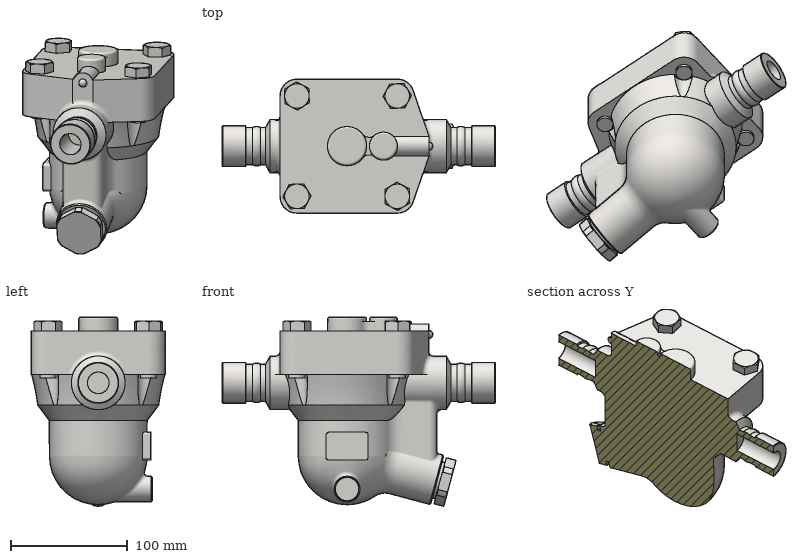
import cadquery as cq
import math

BODY_RADIUS = 42.0
SPHERE_Z = -62.5
SHOULDER_BOTTOM_Z = -32.2
SHOULDER_TOP_Z = -19.0
SHOULDER_RADIUS = 52.0
NECK_TOP_RADIUS = 57.2
NECK_SAG = 0.5

FLANGE_BOTTOM_Z = 7.0
PARTING_Z = 27.0
COVER_TOP_Z = 44.5
FLANGE_HALF = 57.5
NOSE_X = 70.0
NOSE_HALF_WIDTH = 9.0

BOLT_OFFSET = 43.0
BOLT_FLATS = 21.0
BOLT_HEAD_HEIGHT = 8.5
BOLT_TWIST = 2.0
BOLT_END_DIAMETER = 14.0
BOLT_END_LENGTH = 2.8
SCALLOP_RADIUS = 9.0
HEX_CHAMFER_ANGLE = 30.0

BOSS_TOP_Z = 56.4
BOSS_EDGE_FILLET = 2.0
MAIN_BOSS_RADIUS = 16.8
SIDE_BOSS_RADIUS = 12.0
SIDE_BOSS_X = 31.2
WEB_TOP_Z = 52.7
WEB_ARC_RADIUS = 7.0
TUBE_RADIUS = 9.0
TUBE_DEPTH = 3.0
TUBE_Z = COVER_TOP_Z - TUBE_DEPTH
TIP_RADIUS = 3.5

INLET_END_X = -107.0
OUTLET_END_X = 127.0
PIPE_RADIUS = 23.0
INLET_PIPE_LENGTH = 41.0
OUTLET_PIPE_LENGTH = 42.0
PIPE_FLANGE_FILLET = 4.0
TAPER_LENGTH = 4.0
END_RADIUS = 17.5
END_LENGTH = 20.5
END_CHAMFER = 0.5
NECK_RADIUS = 16.0
BEAD_RADIUS = 17.0
BEAD_START = 26.0
BEAD_LENGTH = 7.0
BORE_RADIUS = 9.25
BORE_DEPTH = 40.0

PAD_WIDTH = 36.0
PAD_HEIGHT = 24.0
PAD_Z = -54.3
PAD_FACE_Y = -45.0
PAD_CORNER = 2.5

DRAIN_RADIUS = 11.0
DRAIN_Z = -91.0
DRAIN_FACE_Y = -46.4
DRAIN_CHAMFER = 1.0
DRAIN_FILLET = 3.0

BRANCH_TILT = 15.0
BRANCH_RADIUS = 22.0
BRANCH_BLEND = 16.0
BRANCH_END = 80.0
BRANCH_CHAMFER = 1.0
PLUG_NECK_RADIUS = 16.0
PLUG_HEX_START = 82.5
PLUG_END = 91.3
PLUG_FLATS = 38.0
PLUG_TURNED_RADIUS = 20.5
PLUG_CHAMFER = 0.5

RIB_HALF_WIDTH = 17.0
RIB_END_X = 77.0
RIB_CORNER = 6.5
RIB_BLEND = 15.0
RIB_PIPE_FILLET = 4.0
RIB_BRANCH_FILLET = 2.0

TILT = math.radians(BRANCH_TILT)
BRANCH_AXIS = cq.Vector(math.cos(TILT), 0, -math.sin(TILT))
BRANCH_UP = cq.Vector(math.sin(TILT), 0, math.cos(TILT))
DOME_CENTRE = cq.Vector(0, 0, SPHERE_Z)

DIAGONAL = math.sqrt(0.5)
EDGE_MARGIN = 1.0


def cylinder_x(radius, x_start, x_end, z=0.0):
    return cq.Workplane("YZ", origin=(x_start, 0, z)).circle(radius).extrude(x_end - x_start)


def hex_prism(plane, flats, height):
    corners = flats / math.cos(math.radians(30))
    return cq.Workplane(plane).polygon(6, corners).extrude(height)


def hex_head(plane, flats, height):
    """Hexagonal prism with its outer corners chamfered by a cone."""
    inner = flats / 2
    base_radius = inner + height / math.tan(math.radians(HEX_CHAMFER_ANGLE))
    cone = cq.Solid.makeCone(base_radius, inner, height, plane.origin, plane.zDir)
    return hex_prism(plane, flats, height).intersect(cq.Workplane(cone))


def box_around(x_range, half_y, z_range):
    return cq.selectors.BoxSelector((x_range[0], -half_y, z_range[0]), (x_range[1], half_y, z_range[1]))


def make_body():
    mid_radius = (NECK_TOP_RADIUS + SHOULDER_RADIUS) / 2 - NECK_SAG
    mid_z = (FLANGE_BOTTOM_Z + SHOULDER_TOP_Z) / 2
    dome = BODY_RADIUS * DIAGONAL
    body = (
        cq.Workplane("XZ")
        .moveTo(0, FLANGE_BOTTOM_Z)
        .lineTo(NECK_TOP_RADIUS, FLANGE_BOTTOM_Z)
        .threePointArc((mid_radius, mid_z), (SHOULDER_RADIUS, SHOULDER_TOP_Z))
        .lineTo(BODY_RADIUS, SHOULDER_BOTTOM_Z)
        .lineTo(BODY_RADIUS, SPHERE_Z)
        .threePointArc((dome, SPHERE_Z - dome), (0, SPHERE_Z - BODY_RADIUS))
        .close()
        .revolve(360, (0, 0, 0), (0, 1, 0))
    )
    for x in (-BOLT_OFFSET, BOLT_OFFSET):
        for y in (-BOLT_OFFSET, BOLT_OFFSET):
            scallop = cq.Workplane("XY", origin=(x, y, SHOULDER_TOP_Z)).circle(SCALLOP_RADIUS)
            body = body.cut(scallop.extrude(FLANGE_BOTTOM_Z - SHOULDER_TOP_Z))
    return body


def flange_plate(z_bottom, z_top):
    """Square plate with round corners, narrowing to a flat nose at +X."""
    c = BOLT_OFFSET
    r = FLANGE_HALF - BOLT_OFFSET
    nose_dx = NOSE_X - c
    nose_dy = NOSE_HALF_WIDTH - c
    angle = math.atan2(nose_dy, nose_dx) + math.acos(r / math.hypot(nose_dx, nose_dy))
    tangent = (c + r * math.cos(angle), c + r * math.sin(angle))
    mid_angle = (angle + math.pi / 2) / 2
    arc_mid = (c + r * math.cos(mid_angle), c + r * math.sin(mid_angle))
    diag = c + r * DIAGONAL
    return (
        cq.Workplane("XY", origin=(0, 0, z_bottom))
        .moveTo(NOSE_X, -NOSE_HALF_WIDTH)
        .lineTo(NOSE_X, NOSE_HALF_WIDTH)
        .lineTo(*tangent)
        .threePointArc(arc_mid, (c, FLANGE_HALF))
        .lineTo(-c, FLANGE_HALF)
        .threePointArc((-diag, diag), (-FLANGE_HALF, c))
        .lineTo(-FLANGE_HALF, -c)
        .threePointArc((-diag, -diag), (-c, -FLANGE_HALF))
        .lineTo(c, -FLANGE_HALF)
        .threePointArc((arc_mid[0], -arc_mid[1]), (tangent[0], -tangent[1]))
        .close()
        .extrude(z_top - z_bottom)
    )


def make_flange_with_pipe():
    """Lower flange joined to the wide pipe, with a fillet where the pipe leaves the flange sides."""
    pipe = cylinder_x(PIPE_RADIUS, INLET_END_X + INLET_PIPE_LENGTH, OUTLET_END_X - OUTLET_PIPE_LENGTH)
    reach = PIPE_RADIUS + EDGE_MARGIN
    inlet_side = (-FLANGE_HALF - EDGE_MARGIN, -FLANGE_HALF + EDGE_MARGIN)
    outlet_side = (FLANGE_HALF, NOSE_X + EDGE_MARGIN)
    joined = flange_plate(-FLANGE_HALF, FLANGE_HALF).union(pipe)
    for x_range in (inlet_side, outlet_side):
        joined = joined.edges(box_around(x_range, reach, (-reach, reach))).fillet(PIPE_FLANGE_FILLET)
    size = 2 * OUTLET_END_X
    height = PARTING_Z - FLANGE_BOTTOM_Z
    slab = cq.Workplane("XY", origin=(0, 0, FLANGE_BOTTOM_Z)).rect(size, size).extrude(height)
    return joined.intersect(slab).union(pipe)


def make_bosses():
    height = BOSS_TOP_Z - COVER_TOP_Z
    top = cq.Workplane("XY", origin=(0, 0, COVER_TOP_Z))
    main = top.circle(MAIN_BOSS_RADIUS).extrude(height).faces(">Z").edges().fillet(BOSS_EDGE_FILLET)
    side = top.center(SIDE_BOSS_X, 0).circle(SIDE_BOSS_RADIUS).extrude(height)
    side = side.faces(">Z").edges().fillet(BOSS_EDGE_FILLET)
    main_reach = MAIN_BOSS_RADIUS + WEB_ARC_RADIUS
    side_reach = SIDE_BOSS_RADIUS + WEB_ARC_RADIUS
    arc_x = (main_reach**2 - side_reach**2 + SIDE_BOSS_X**2) / (2 * SIDE_BOSS_X)
    arc_y = math.sqrt(main_reach**2 - arc_x**2)
    web = (
        top.polyline([(0, 0), (arc_x, arc_y), (SIDE_BOSS_X, 0), (arc_x, -arc_y)])
        .close()
        .extrude(WEB_TOP_Z - COVER_TOP_Z)
        .cut(top.pushPoints([(arc_x, arc_y), (arc_x, -arc_y)]).circle(WEB_ARC_RADIUS).extrude(height))
    )
    tube = cylinder_x(TUBE_RADIUS, SIDE_BOSS_X, NOSE_X, TUBE_Z)
    tip = cq.Workplane("XY", origin=(NOSE_X, 0, TUBE_Z)).sphere(TIP_RADIUS)
    return main.union(web).union(side).union(tube).union(tip)


def make_bolts():
    bolts = cq.Workplane("XY")
    for index in range(4):
        turn = 90 * index + 45
        reach = BOLT_OFFSET / DIAGONAL
        x = reach * math.cos(math.radians(turn))
        y = reach * math.sin(math.radians(turn))
        twist = math.radians(90 * index + BOLT_TWIST)
        x_dir = (math.cos(twist), math.sin(twist), 0)
        plane = cq.Plane(origin=(x, y, COVER_TOP_Z), xDir=x_dir, normal=(0, 0, 1))
        shank = (
            cq.Workplane("XY", origin=(x, y, FLANGE_BOTTOM_Z - BOLT_END_LENGTH))
            .circle(BOLT_END_DIAMETER / 2)
            .extrude(COVER_TOP_Z - FLANGE_BOTTOM_Z + BOLT_END_LENGTH)
        )
        bolts = bolts.add(hex_head(plane, BOLT_FLATS, BOLT_HEAD_HEIGHT)).add(shank)
    return bolts.combine()


def make_pipe_end(x_end, direction, wide_pipe_start):
    """Weld end with a bead and a taper; distances run from the open end towards the body."""
    bead_end = BEAD_START + BEAD_LENGTH
    inside = wide_pipe_start + TAPER_LENGTH
    pipe_end = (
        cq.Workplane("XY")
        .moveTo(0, 0)
        .lineTo(0, END_RADIUS - END_CHAMFER)
        .lineTo(END_CHAMFER, END_RADIUS)
        .lineTo(END_LENGTH - END_CHAMFER, END_RADIUS)
        .lineTo(END_LENGTH, NECK_RADIUS)
        .lineTo(BEAD_START, NECK_RADIUS)
        .threePointArc((BEAD_START + BEAD_LENGTH / 2, BEAD_RADIUS), (bead_end, NECK_RADIUS))
        .lineTo(wide_pipe_start - TAPER_LENGTH, NECK_RADIUS)
        .lineTo(wide_pipe_start, PIPE_RADIUS)
        .lineTo(inside, PIPE_RADIUS)
        .lineTo(inside, 0)
        .close()
        .revolve(360, (0, 0, 0), (1, 0, 0))
    )
    if direction < 0:
        pipe_end = pipe_end.mirror("YZ")
    return pipe_end.translate((x_end, 0, 0))


def make_pad():
    return (
        cq.Workplane("XZ", origin=(0, PAD_FACE_Y, PAD_Z))
        .rect(PAD_WIDTH, PAD_HEIGHT)
        .extrude(PAD_FACE_Y)
        .edges("|Y")
        .fillet(PAD_CORNER)
    )


def add_drain(body):
    boss = (
        cq.Workplane("XZ", origin=(0, DRAIN_FACE_Y, DRAIN_Z))
        .circle(DRAIN_RADIUS)
        .extrude(DRAIN_FACE_Y)
    )
    boss = boss.faces("<Y").edges().chamfer(DRAIN_CHAMFER)
    joined = body.union(boss)
    foot = box_around(
        (-DRAIN_RADIUS, DRAIN_RADIUS),
        -DRAIN_FACE_Y - 2 * DRAIN_CHAMFER,
        (DRAIN_Z - DRAIN_RADIUS, DRAIN_Z + DRAIN_RADIUS),
    )
    return joined.edges(foot).fillet(DRAIN_FILLET)


def make_branch():
    """Cylinder along the slanted axis, flared by an arc tangent to the dome."""
    plane = cq.Plane(origin=DOME_CENTRE, xDir=BRANCH_AXIS, normal=(0, -1, 0))
    arc_v = BRANCH_RADIUS + BRANCH_BLEND
    arc_u = math.sqrt((BODY_RADIUS + BRANCH_BLEND) ** 2 - arc_v**2)
    share = BODY_RADIUS / (BODY_RADIUS + BRANCH_BLEND)
    foot = (arc_u * share, arc_v * share)
    mid_angle = (math.atan2(-arc_v, -arc_u) - math.pi / 2) / 2
    mid = (arc_u + BRANCH_BLEND * math.cos(mid_angle), arc_v + BRANCH_BLEND * math.sin(mid_angle))
    return (
        cq.Workplane(plane)
        .moveTo(0, 0)
        .lineTo(*foot)
        .threePointArc(mid, (arc_u, BRANCH_RADIUS))
        .lineTo(BRANCH_END - BRANCH_CHAMFER, BRANCH_RADIUS)
        .lineTo(BRANCH_END, BRANCH_RADIUS - BRANCH_CHAMFER)
        .lineTo(BRANCH_END, 0)
        .close()
        .revolve(360, (0, 0, 0), (1, 0, 0))
    )


def make_plug():
    """Short neck and a hexagon with turned corners, one of them pointing up."""
    neck_plane = cq.Plane(
        origin=DOME_CENTRE + BRANCH_AXIS * BRANCH_END, xDir=BRANCH_UP, normal=BRANCH_AXIS)
    hex_plane = cq.Plane(
        origin=DOME_CENTRE + BRANCH_AXIS * PLUG_HEX_START, xDir=BRANCH_UP, normal=BRANCH_AXIS)
    neck = cq.Workplane(neck_plane).circle(PLUG_NECK_RADIUS).extrude(PLUG_HEX_START - BRANCH_END)
    height = PLUG_END - PLUG_HEX_START
    turned = cq.Workplane(hex_plane).circle(PLUG_TURNED_RADIUS).extrude(height).edges().chamfer(PLUG_CHAMFER)
    head = hex_prism(hex_plane, PLUG_FLATS, height).intersect(turned)
    return neck.union(head)


def make_rib():
    """Upright rib blended into the round body by arcs and rounded at its outer end."""
    arc_y = RIB_HALF_WIDTH + RIB_BLEND
    arc_x = math.sqrt((BODY_RADIUS + RIB_BLEND) ** 2 - arc_y**2)
    share = BODY_RADIUS / (BODY_RADIUS + RIB_BLEND)
    bottom_z = SPHERE_Z - RIB_END_X * math.tan(TILT)
    base = cq.Workplane("XY", origin=(0, 0, bottom_z))
    height = -bottom_z
    bar = base.rect(2 * RIB_END_X, 2 * RIB_HALF_WIDTH).extrude(height)
    bar = bar.edges("|Z and >X").fillet(RIB_CORNER)
    bar = bar.intersect(base.center(RIB_END_X, 0).rect(2 * RIB_END_X, 4 * RIB_HALF_WIDTH).extrude(height))
    foot = (arc_x * share, arc_y * share)
    blend = (
        base.polyline([(0, 0), foot, (arc_x, arc_y), (arc_x, -arc_y), (foot[0], -foot[1])])
        .close()
        .extrude(height)
        .cut(base.pushPoints([(arc_x, arc_y), (arc_x, -arc_y)]).circle(RIB_BLEND).extrude(height))
    )
    rib = bar.union(blend)
    below_axis = (
        cq.Workplane("XZ")
        .polyline([(0, SPHERE_Z), (RIB_END_X, bottom_z), (0, bottom_z)])
        .close()
        .extrude(2 * RIB_HALF_WIDTH, both=True)
    )
    return rib.cut(below_axis)


def round_rib_edges(casting):
    """Fillets where the rib runs into the outlet pipe above and the branch below."""
    rib_end = RIB_END_X + EDGE_MARGIN
    pipe_zone = box_around(
        (SHOULDER_RADIUS, rib_end),
        RIB_HALF_WIDTH + EDGE_MARGIN,
        (-PIPE_RADIUS - EDGE_MARGIN, -PIPE_RADIUS / 2),
    )
    branch_zone = box_around(
        (BODY_RADIUS * math.cos(TILT) - 2 * EDGE_MARGIN, rib_end),
        RIB_HALF_WIDTH + 3 * EDGE_MARGIN,
        (SPHERE_Z - BRANCH_RADIUS / 2, SPHERE_Z + BRANCH_RADIUS / 2),
    )
    casting = casting.edges(pipe_zone).fillet(RIB_PIPE_FILLET)
    return casting.edges(branch_zone).fillet(RIB_BRANCH_FILLET)


casting = add_drain(make_body()).union(make_branch()).union(make_rib()).union(make_flange_with_pipe())
result = round_rib_edges(casting)
result = result.union(make_plug())
result = result.union(make_pad())
for x_end, direction, pipe_start in (
    (INLET_END_X, 1, INLET_PIPE_LENGTH),
    (OUTLET_END_X, -1, OUTLET_PIPE_LENGTH),
):
    result = result.union(make_pipe_end(x_end, direction, pipe_start))
    bore = cylinder_x(BORE_RADIUS, x_end, x_end + direction * BORE_DEPTH)
    result = result.cut(bore)
result = result.union(flange_plate(PARTING_Z, COVER_TOP_Z), clean=False)
result = result.union(make_bosses(), clean=False)
result = result.union(make_bolts(), clean=False)